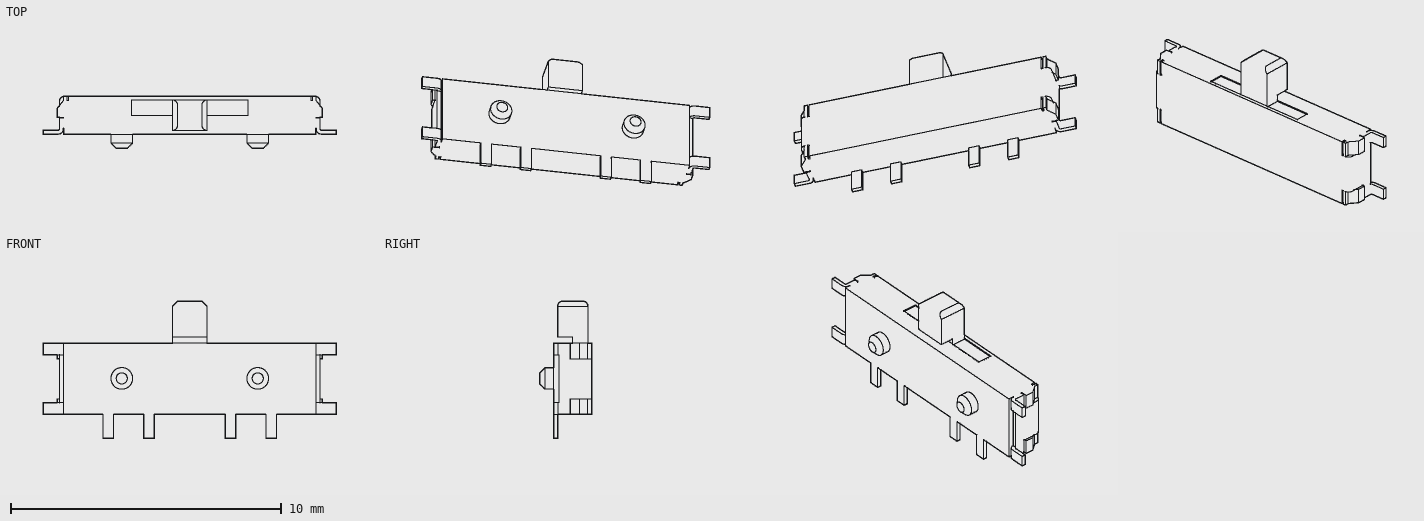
import cadquery as cq


body_height = 2.63
body_depth = 1.41
core_half = 4.65
wall_half = 4.81
wall_front = 0.2
back_bend_radius = 0.2

lug_half = 4.9
lug_height = 0.57
lug_front = 0.63
lug_chamfer_start = 0.95
lug_gap = 0.03
sheet = 0.15

relief_outer = 4.53
relief_width = 0.06
relief_depth = lug_height
wall_slit_depth = 0.23

leg_half = 5.41
leg_height = 0.43
leg_inner_radius = 0.04

pin_width = 0.4
pin_length = 0.89
pin_pitch = 1.5

peg_radius = 0.4
peg_length = 0.52
peg_chamfer = 0.2
peg_spacing = 5.02
peg_z = 1.33

window_length = 4.28
window_front = 0.69
window_back = 1.27
window_depth = 0.04
knob_width = 1.29
knob_height = 1.56
knob_front = 0.14
knob_gap = 0.23
knob_edge = 0.2


def box(x0, x1, y0, y1, z0, z1):
    """Box between two opposite corners."""
    return cq.Workplane("XY").box(x1 - x0, y1 - y0, z1 - z0, centered=False).translate((x0, y0, z0))


def both_ends(right_end):
    """The given right-hand shape together with its mirror image on the left."""
    return right_end.union(right_end.mirror("YZ"))


def make_middle():
    """Middle height band of the body, between the lower and upper lugs, with rounded back corners."""
    bend_y = body_depth - back_bend_radius
    half = (
        cq.Workplane("XY").workplane(offset=lug_height)
        .moveTo(0, 0)
        .lineTo(core_half, 0)
        .lineTo(core_half, wall_front)
        .lineTo(wall_half, wall_front)
        .lineTo(wall_half, bend_y)
        .radiusArc((wall_half - back_bend_radius, body_depth), -back_bend_radius)
        .lineTo(0, body_depth)
        .close()
        .extrude(body_height - 2 * lug_height)
    )
    return both_ends(half)


def make_lug_layer(z):
    """Layer of the body whose ends carry the sloped lugs."""
    half = (
        cq.Workplane("XY").workplane(offset=z)
        .polyline([
            (0, 0),
            (core_half, 0),
            (core_half, wall_front),
            (wall_half, wall_front),
            (wall_half, lug_front - lug_gap),
            (core_half, lug_front - lug_gap),
            (core_half, lug_front),
            (lug_half, lug_front),
            (lug_half, lug_chamfer_start),
            (core_half, body_depth - sheet),
            (core_half, body_depth),
            (0, body_depth),
        ])
        .close()
        .extrude(lug_height)
    )
    return both_ends(half)


def make_legs(z):
    """Pair of legs bent outward from the side walls."""
    outer_radius = leg_inner_radius + sheet
    bend_x = wall_half + leg_inner_radius
    leg = (
        cq.Workplane("XY").workplane(offset=z)
        .moveTo(wall_half - sheet, wall_slit_depth)
        .lineTo(wall_half - sheet, outer_radius)
        .radiusArc((bend_x, 0), -outer_radius)
        .lineTo(leg_half, 0)
        .lineTo(leg_half, sheet)
        .lineTo(bend_x, sheet)
        .radiusArc((wall_half, outer_radius), leg_inner_radius)
        .lineTo(wall_half, wall_slit_depth)
        .close()
        .extrude(leg_height)
    )
    return both_ends(leg)


def make_peg(x):
    """Round peg with a conical tip, standing out of the front face."""
    return (
        cq.Workplane("XZ").center(x, peg_z).circle(peg_radius).extrude(peg_length)
        .faces("<Y").chamfer(peg_chamfer)
    )


def make_knob():
    """Knob on a stem that rises from the window."""
    half = knob_width / 2
    top = body_height + knob_height
    head = box(-half, half, knob_front, window_back, body_height + knob_gap, top)
    head = head.edges(">Z and |X").fillet(knob_edge)
    for side in (-1, 1):
        corner = (
            cq.Workplane("XZ")
            .polyline([
                (side * half, top - knob_edge),
                (side * half, top),
                (side * (half - knob_edge), top),
            ])
            .close()
            .extrude(-body_depth)
        )
        head = head.cut(corner)
    floor = body_height - window_depth
    return head.union(box(-half, half, window_front, window_back, floor, top - knob_edge))


result = make_middle()
for z in (0, body_height - lug_height):
    result = result.union(make_lug_layer(z))

slit = box(core_half, wall_half - sheet, 0, wall_slit_depth, 0, body_height)
result = result.cut(both_ends(slit))

for z in (0, body_height - leg_height):
    result = result.union(make_legs(z))

for z in (0, body_height - relief_depth):
    relief = box(
        relief_outer - relief_width, relief_outer,
        body_depth - sheet, body_depth,
        z, z + relief_depth,
    )
    result = result.cut(both_ends(relief))

for position in (-2, -1, 1, 2):
    x = position * pin_pitch
    result = result.union(box(x - pin_width / 2, x + pin_width / 2, 0, sheet, -pin_length, 0))

for x in (-peg_spacing / 2, peg_spacing / 2):
    result = result.union(make_peg(x))

window = box(
    -window_length / 2, window_length / 2,
    window_front, window_back,
    body_height - window_depth, body_height,
)
result = result.cut(window).union(make_knob())